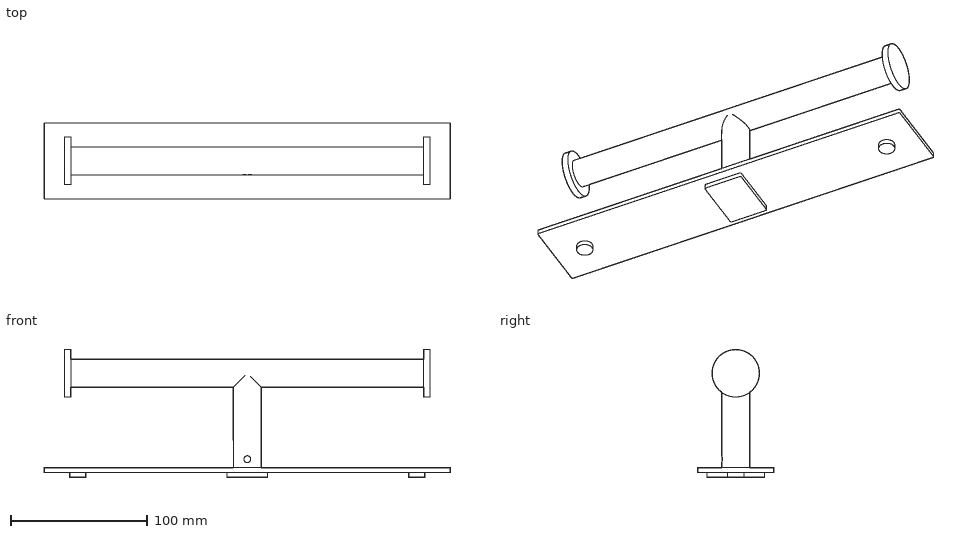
import cadquery as cq

plate_length = 298
plate_width = 56.0
plate_thickness = 3.5
plate_corner_radius = 1.0

pad_thickness = 3.5
block_length = 29.8
block_width = 42.3
block_corner_radius = 1.2
foot_diameter = 12
foot_offset = 124.3

overall_height = 94.0
tube_diameter = 20.5
bar_span = 268.2
flange_diameter = 35.0
flange_thickness = 4.8

screw_diameter = 5.0
screw_height = 13.5
screw_recess = 0.15

plate_top = pad_thickness + plate_thickness
bar_height = overall_height - flange_diameter / 2


def rounded_block(length, width, thickness, corner_radius, bottom):
    """Flat block centred on the Z axis with rounded vertical edges."""
    block = cq.Workplane("XY").workplane(offset=bottom).rect(length, width).extrude(thickness)
    return block.edges("|Z").fillet(corner_radius)


def rod_along_x(diameter, start, length):
    """Round rod on the bar axis, running from x = start towards +X."""
    plane = cq.Workplane("YZ", origin=(start, 0, bar_height))
    return plane.circle(diameter / 2).extrude(length)


def make_base():
    plate = rounded_block(plate_length, plate_width, plate_thickness, plate_corner_radius, pad_thickness)
    block = rounded_block(block_length, block_width, pad_thickness, block_corner_radius, 0)
    feet = (
        cq.Workplane("XY")
        .pushPoints([(-foot_offset, 0), (foot_offset, 0)])
        .circle(foot_diameter / 2)
        .extrude(pad_thickness)
    )
    return plate.union(block).union(feet)


def make_post():
    post_length = bar_height - plate_top
    return cq.Workplane("XY").workplane(offset=plate_top).circle(tube_diameter / 2).extrude(post_length)


def make_cross_bar():
    bar = rod_along_x(tube_diameter, -bar_span / 2, bar_span)
    for start in (-bar_span / 2, bar_span / 2 - flange_thickness):
        bar = bar.union(rod_along_x(flange_diameter, start, flange_thickness))
    return bar


def make_screw_recess():
    """Shallow round recess whose floor follows the curve of the post."""
    screw_plane = cq.Workplane("XZ", origin=(0, 0, screw_height))
    screw = screw_plane.circle(screw_diameter / 2).extrude(tube_diameter)
    post_core = cq.Workplane("XY").circle(tube_diameter / 2 - screw_recess).extrude(bar_height)
    return screw.cut(post_core)


result = make_base().union(make_post()).union(make_cross_bar()).cut(make_screw_recess())